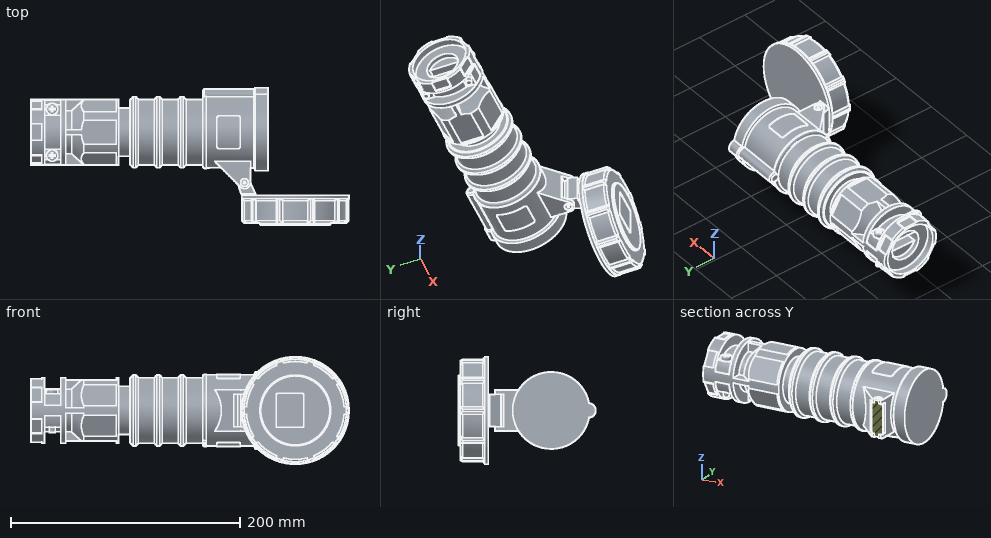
import cadquery as cq
import math


NUT_RADIUS = 28.7
CASTLE_END = 9.6
CASTLE_COUNT = 6
CASTLE_WIDTH = 14.4
CASTLE_FLOOR = 26.8
MOUTH_RADIUS = 25.0
MOUTH_DEPTH = 7.0
CABLE_RADIUS = 14.6
CLAMP_START = 12.0
CLAMP_END = 26.0
CLAMP_LENGTH = CLAMP_END - CLAMP_START
GRIP_START = 30.5
GRIP_END = 74.7
GRIP_APOTHEM = 26.7
GRIP_TURN = 30.0
POCKET_RADIUS = 18.8
POCKET_CONE_START = 35.5
POCKET_CONE_END = 46.2
POCKET_WEB = 4.6
NUT_BODY_END = 76.5
NECK_RADIUS = 21.2

JAW_GAP = 9.4
JAW_RADIUS = 28.2
JAW_TOP = 18.8
PAD_HEIGHT = 14.6
ARCH_RADIUS = 28.9
SCREW_X = CLAMP_START + 6.6
SCREW_OFFSET = 20.3
SCREW_SHANK_RADIUS = 2.6
SCREW_HEAD_RADIUS = 5.0
SCREW_HEAD_HEIGHT = 3.9
SCREW_HEAD_FILLET = 1.8
SCREW_TAIL = 4.8
CROSS_LENGTH = 5.0
CROSS_WIDTH = 1.3
CROSS_DEPTH = 1.6

HOUSING_START = 86.2
TUBE_RADIUS = NUT_RADIUS
TUBE_CHAMFER = 0.8
RIB_FIRST = 90.4
RIB_PITCH = 20.75
RIB_COUNT = 3
RIB_HEIGHT = 2.4
RIB_CREST = 2.2
SOCKET_START = 149.9
SOCKET_BEAD_END = 153.1
SOCKET_RADIUS = 31.2
SOCKET_BEAD = 0.5
SOCKET_BEAD_FILLET = 2.2
RIM_STEP_START = 194.6
RIM_STEP_END = 195.8
RIM_RADIUS = 33.7
HOUSING_END = 207.0
KEY_CENTER_Y = 32.5
KEY_RADIUS = 5.3
KEY_RIM_RADIUS = 6.4
KEY_CHAMFER = 1.5
LABEL_X = 172.5
LABEL_LENGTH = 20.5
LABEL_WIDTH = 28.6
LABEL_CORNER = 2.0
LABEL_RISE = 0.3

PIVOT_X = 186.4
PIVOT_Y = -43.9
BRACKET_RADIUS = 5.3
BRACKET_WIDTH = 36.0
BRACKET_ROOT_Y = -20.0
SLOT_START = 177.2
SLOT_FLOOR_Y = -41.2
LEVER_WIDTH = 28.0
LEVER_TOP_OFFSET = 1.9
LEVER_FOOT_Y = -53.7
LEVER_LEFT = 183.3
LEVER_RIGHT = 196.0
LEVER_TILT_LEFT = 2.6
LEVER_TILT_RIGHT = 4.4
FOOT_LEFT = 190.1
FOOT_WIDTH = 22.0
TRUNNION_RADIUS = 3.4
TRUNNION_BORE = 0.9
TRUNNION_INSET = 0.8

COVER_X = 230.7
COVER_TOP_Y = -54.9
COVER_FLANGE_RADIUS = 47.0
COVER_FLANGE_THICKNESS = 3.2
COVER_NECK = 1.6
COVER_NECK_CHAMFER = 1.55
COVER_RADIUS = 44.7
COVER_HEIGHT = 24.4
COVER_CHAMFER = 2.0
GRIP_RIB_COUNT = 10
GRIP_RIB_RADIUS = 46.5
GRIP_RIB_BASE = 6.2
GRIP_RIB_TIP = 2.0
FACE_DISC_RADIUS = 30.9
FACE_DISC_HEIGHT = 1.85
FACE_DISC_CHAMFER = 0.8
FACE_LABEL_SHIFT = -4.7
FACE_LABEL_LENGTH = 24.0
FACE_LABEL_WIDTH = 29.7
FACE_LABEL_CORNER = 1.2
FACE_LABEL_DEPTH = 0.3

AXIS_START = (0, 0, 0)
AXIS_END = (1, 0, 0)


def axial_cylinder(start, end, radius):
    """Cylinder around the X axis."""
    return cq.Workplane("YZ", origin=(start, 0, 0)).circle(radius).extrude(end - start)


def axial_revolve(points):
    """Solid of revolution around X from (x, radius) points."""
    return cq.Workplane("XY").polyline(points).close().revolve(360, AXIS_START, AXIS_END)


def block(x_range, y_range, z_range):
    """Box given by its limits along each axis."""
    ranges = (x_range, y_range, z_range)
    size = [high - low for low, high in ranges]
    center = [(high + low) / 2 for low, high in ranges]
    return cq.Workplane("XY").box(*size).translate(tuple(center))


def vertical_cylinder(x, y, radius, bottom, top):
    """Cylinder along Z."""
    return cq.Workplane("XY", origin=(x, y, bottom)).circle(radius).extrude(top - bottom)


def castle_notches():
    """Flat-floored notches around the entry end."""
    notch = block(
        (0, CASTLE_END),
        (-CASTLE_WIDTH / 2, CASTLE_WIDTH / 2),
        (CASTLE_FLOOR, NUT_RADIUS + 1),
    )
    notches = cq.Workplane("XY")
    for index in range(CASTLE_COUNT):
        notches = notches.add(notch.rotate(AXIS_START, AXIS_END, index * 360 / CASTLE_COUNT))
    return notches.combine()


def grip_flats():
    """Material outside the hexagon of the grip."""
    hexagon = (
        cq.Workplane("YZ", origin=(GRIP_START, 0, 0))
        .polygon(6, 2 * GRIP_APOTHEM, circumscribed=True)
        .extrude(GRIP_END - GRIP_START)
        .rotate(AXIS_START, AXIS_END, GRIP_TURN)
    )
    return axial_cylinder(GRIP_START, GRIP_END, NUT_RADIUS + 1).cut(hexagon)


def grip_pockets():
    """Four conical pockets ahead of the grip, kept apart by a cross of webs."""
    slope = (NUT_RADIUS - POCKET_RADIUS) / (POCKET_CONE_END - POCKET_CONE_START)
    outer = NUT_RADIUS + 1
    ring = axial_revolve([
        (GRIP_START, POCKET_RADIUS),
        (POCKET_CONE_START, POCKET_RADIUS),
        (POCKET_CONE_END + 1 / slope, outer),
        (GRIP_START, outer),
    ])
    x_range = (GRIP_START, GRIP_END)
    web = (-POCKET_WEB / 2, POCKET_WEB / 2)
    span = (-outer, outer)
    return ring.cut(block(x_range, web, span)).cut(block(x_range, span, web))


def make_gland_nut():
    nut = axial_cylinder(0, NUT_BODY_END, NUT_RADIUS)
    nut = nut.union(axial_cylinder(NUT_BODY_END, HOUSING_START, NECK_RADIUS))
    nut = nut.cut(castle_notches()).cut(grip_flats()).cut(grip_pockets())
    nut = nut.cut(axial_cylinder(0, MOUTH_DEPTH, MOUTH_RADIUS))
    nut = nut.cut(axial_cylinder(MOUTH_DEPTH, CLAMP_END, CABLE_RADIUS))
    span = (-NUT_RADIUS, NUT_RADIUS)
    for z_range in ((JAW_GAP / 2, NUT_RADIUS), (-NUT_RADIUS, -JAW_GAP / 2)):
        nut = nut.cut(block((CLAMP_START, CLAMP_END), span, z_range))
    for y in (-SCREW_OFFSET, SCREW_OFFSET):
        nut = nut.cut(vertical_cylinder(SCREW_X, y, SCREW_SHANK_RADIUS, -JAW_GAP, JAW_GAP))
    return nut


def make_clamp_jaw(side):
    """One jaw: flat pads beside a low arch; side is +1 above the cable and -1 below it."""
    span = (-JAW_RADIUS, JAW_RADIUS)
    pads = block((CLAMP_START, CLAMP_END), span, (JAW_GAP / 2, PAD_HEIGHT))
    arch = (
        cq.Workplane("YZ", origin=(CLAMP_START, 0, JAW_TOP - ARCH_RADIUS))
        .circle(ARCH_RADIUS)
        .extrude(CLAMP_LENGTH)
        .intersect(block((CLAMP_START, CLAMP_END), span, (JAW_GAP / 2, JAW_TOP)))
    )
    jaw = pads.union(arch).intersect(axial_cylinder(CLAMP_START, CLAMP_END, JAW_RADIUS))
    for y in (-SCREW_OFFSET, SCREW_OFFSET):
        jaw = jaw.cut(vertical_cylinder(SCREW_X, y, SCREW_SHANK_RADIUS, 0, JAW_TOP))
    if side < 0:
        jaw = jaw.mirror("XY")
    return jaw


def make_clamp_screw(y):
    """Cross-recessed screw through both jaws, its tail standing out below."""
    top = PAD_HEIGHT + SCREW_HEAD_HEIGHT
    shank = vertical_cylinder(SCREW_X, y, SCREW_SHANK_RADIUS, -PAD_HEIGHT - SCREW_TAIL, PAD_HEIGHT)
    head = vertical_cylinder(SCREW_X, y, SCREW_HEAD_RADIUS, PAD_HEIGHT, top)
    head = head.faces(">Z").edges().fillet(SCREW_HEAD_FILLET)
    recess = cq.Workplane("XY", origin=(SCREW_X, y, top - CROSS_DEPTH))
    head = head.cut(recess.rect(CROSS_LENGTH, CROSS_WIDTH).extrude(CROSS_DEPTH))
    head = head.cut(recess.rect(CROSS_WIDTH, CROSS_LENGTH).extrude(CROSS_DEPTH))
    return shank.union(head)


def housing_rib(center):
    """Trapezoid ring around the tube with 45 degree flanks."""
    crest = RIB_CREST / 2
    base = crest + RIB_HEIGHT
    return axial_revolve([
        (center - base, 0),
        (center - base, TUBE_RADIUS),
        (center - crest, TUBE_RADIUS + RIB_HEIGHT),
        (center + crest, TUBE_RADIUS + RIB_HEIGHT),
        (center + base, TUBE_RADIUS),
        (center + base, 0),
    ])


def housing_tube():
    tube = axial_cylinder(HOUSING_START, SOCKET_START, TUBE_RADIUS)
    tube = tube.faces("<X").edges().chamfer(TUBE_CHAMFER)
    for index in range(RIB_COUNT):
        tube = tube.union(housing_rib(RIB_FIRST + index * RIB_PITCH))
    return tube


def housing_socket():
    """Socket barrel with a rounded bead at its start and a wider rim at its end."""
    bead_radius = SOCKET_RADIUS + SOCKET_BEAD
    round_center = (SOCKET_START + SOCKET_BEAD_FILLET, bead_radius - SOCKET_BEAD_FILLET)
    reach = SOCKET_BEAD_FILLET * math.sqrt(0.5)
    return (
        cq.Workplane("XY")
        .moveTo(SOCKET_START, 0)
        .lineTo(SOCKET_START, round_center[1])
        .threePointArc((round_center[0] - reach, round_center[1] + reach), (round_center[0], bead_radius))
        .lineTo(SOCKET_BEAD_END, bead_radius)
        .lineTo(SOCKET_BEAD_END, SOCKET_RADIUS)
        .lineTo(RIM_STEP_START, SOCKET_RADIUS)
        .lineTo(RIM_STEP_END, RIM_RADIUS)
        .lineTo(HOUSING_END, RIM_RADIUS)
        .lineTo(HOUSING_END, 0)
        .close()
        .revolve(360, AXIS_START, AXIS_END)
    )


def key_rib():
    """Rounded rib along the +Y side with a chamfered start and a wider end on the rim."""
    return (
        cq.Workplane("XY")
        .polyline([
            (SOCKET_START, KEY_CENTER_Y),
            (SOCKET_START, KEY_CENTER_Y + KEY_RADIUS - KEY_CHAMFER),
            (SOCKET_START + KEY_CHAMFER, KEY_CENTER_Y + KEY_RADIUS),
            (RIM_STEP_START, KEY_CENTER_Y + KEY_RADIUS),
            (RIM_STEP_END, KEY_CENTER_Y + KEY_RIM_RADIUS),
            (HOUSING_END, KEY_CENTER_Y + KEY_RIM_RADIUS),
            (HOUSING_END, KEY_CENTER_Y),
        ])
        .close()
        .revolve(360, (0, KEY_CENTER_Y, 0), (1, KEY_CENTER_Y, 0))
    )


def label_pads():
    """Thin raised label areas on the top and bottom of the socket."""
    outline = (
        cq.Workplane("XY", origin=(LABEL_X, 0, -RIM_RADIUS))
        .rect(LABEL_LENGTH, LABEL_WIDTH)
        .extrude(2 * RIM_RADIUS)
        .edges("|Z")
        .fillet(LABEL_CORNER)
    )
    half = LABEL_LENGTH / 2
    return outline.intersect(axial_cylinder(LABEL_X - half, LABEL_X + half, SOCKET_RADIUS + LABEL_RISE))


def hinge_bracket():
    """Triangular bracket, rounded at the pivot and slotted for the cover lever."""
    reach = BRACKET_RADIUS * math.sqrt(0.5)
    tangent_x = PIVOT_X - reach
    tangent_y = PIVOT_Y - reach
    root_x = tangent_x - (BRACKET_ROOT_Y - tangent_y)
    arc_middle = (
        PIVOT_X + BRACKET_RADIUS * math.sin(math.pi / 8),
        PIVOT_Y - BRACKET_RADIUS * math.cos(math.pi / 8),
    )
    half = BRACKET_WIDTH / 2
    bracket = (
        cq.Workplane("XY", origin=(0, 0, -half))
        .moveTo(root_x, BRACKET_ROOT_Y)
        .lineTo(PIVOT_X + BRACKET_RADIUS, BRACKET_ROOT_Y)
        .lineTo(PIVOT_X + BRACKET_RADIUS, PIVOT_Y)
        .threePointArc(arc_middle, (tangent_x, tangent_y))
        .close()
        .extrude(BRACKET_WIDTH)
    )
    slot = block(
        (SLOT_START, PIVOT_X + 2 * BRACKET_RADIUS),
        (COVER_TOP_Y, SLOT_FLOOR_Y),
        (-LEVER_WIDTH / 2, LEVER_WIDTH / 2),
    )
    return bracket.cut(slot).cut(vertical_cylinder(PIVOT_X, PIVOT_Y, TRUNNION_RADIUS, -half, half))


def make_housing():
    housing = housing_socket().union(key_rib()).union(housing_tube())
    return housing.union(label_pads()).union(hinge_bracket())


def cover_disc(start, height, radius):
    """Disc about the cover axis, from start toward -Y."""
    return cq.Workplane("XZ", origin=(COVER_X, start, 0)).circle(radius).extrude(height)


def cover_grip_rib():
    """One tapered grip rib at the +X side of the cover."""
    start = COVER_TOP_Y - COVER_FLANGE_THICKNESS
    root = COVER_RADIUS - 2 * COVER_CHAMFER
    rib = (
        cq.Workplane("XZ", origin=(COVER_X, start, 0))
        .polyline([
            (root, -GRIP_RIB_BASE / 2),
            (COVER_RADIUS, -GRIP_RIB_BASE / 2),
            (GRIP_RIB_RADIUS, -GRIP_RIB_TIP / 2),
            (GRIP_RIB_RADIUS, GRIP_RIB_TIP / 2),
            (COVER_RADIUS, GRIP_RIB_BASE / 2),
            (root, GRIP_RIB_BASE / 2),
        ])
        .close()
        .extrude(COVER_HEIGHT - COVER_FLANGE_THICKNESS)
    )
    return rib.faces("<Y").edges(">X").chamfer(COVER_CHAMFER)


def cover_lid():
    flange = cover_disc(COVER_TOP_Y, COVER_FLANGE_THICKNESS, COVER_FLANGE_RADIUS)
    neck_start = COVER_TOP_Y - COVER_FLANGE_THICKNESS
    neck = cover_disc(neck_start, COVER_NECK, COVER_RADIUS + COVER_NECK)
    neck = neck.faces("<Y").edges().chamfer(COVER_NECK_CHAMFER)
    drum = cover_disc(COVER_TOP_Y, COVER_HEIGHT, COVER_RADIUS)
    drum = drum.faces("<Y").edges().chamfer(COVER_CHAMFER)
    lid = flange.union(neck).union(drum)
    rib = cover_grip_rib()
    for index in range(GRIP_RIB_COUNT):
        angle = index * 360 / GRIP_RIB_COUNT
        lid = lid.union(rib.rotate((COVER_X, 0, 0), (COVER_X, 1, 0), angle))
    face_y = COVER_TOP_Y - COVER_HEIGHT
    disc = cover_disc(face_y, FACE_DISC_HEIGHT, FACE_DISC_RADIUS)
    disc = disc.faces("<Y").edges().chamfer(FACE_DISC_CHAMFER)
    label_x = COVER_X + FACE_LABEL_SHIFT
    label_floor_y = face_y - FACE_DISC_HEIGHT + FACE_LABEL_DEPTH
    label = (
        cq.Workplane("XZ", origin=(label_x, label_floor_y, 0))
        .rect(FACE_LABEL_LENGTH, FACE_LABEL_WIDTH)
        .extrude(FACE_LABEL_DEPTH)
        .edges("|Y")
        .fillet(FACE_LABEL_CORNER)
    )
    return lid.union(disc.cut(label))


def cover_lever():
    """Lever rising from the lid edge into the bracket slot, with hollow trunnions for the bracket ears."""
    half = LEVER_WIDTH / 2
    lever = (
        cq.Workplane("XY", origin=(0, 0, -half))
        .polyline([
            (LEVER_LEFT, LEVER_FOOT_Y),
            (LEVER_RIGHT, LEVER_FOOT_Y),
            (LEVER_RIGHT - LEVER_TILT_RIGHT, PIVOT_Y),
            (PIVOT_X, PIVOT_Y + LEVER_TOP_OFFSET),
            (LEVER_LEFT - LEVER_TILT_LEFT, PIVOT_Y - LEVER_TOP_OFFSET),
        ])
        .close()
        .extrude(LEVER_WIDTH)
    )
    foot = block(
        (FOOT_LEFT, LEVER_RIGHT),
        (COVER_TOP_Y, LEVER_FOOT_Y),
        (-FOOT_WIDTH / 2, FOOT_WIDTH / 2),
    )
    reach = BRACKET_WIDTH / 2 - TRUNNION_INSET
    trunnions = vertical_cylinder(PIVOT_X, PIVOT_Y, TRUNNION_RADIUS, -reach, reach)
    hinged_lever = lever.union(foot).union(trunnions)
    return hinged_lever.cut(vertical_cylinder(PIVOT_X, PIVOT_Y, TRUNNION_BORE, -reach, reach))


def make_cover():
    return cover_lid().union(cover_lever())


housing = make_housing()
gland_nut = make_gland_nut()
clamp_jaws = [make_clamp_jaw(side) for side in (1, -1)]
clamp_screws = [make_clamp_screw(y) for y in (-SCREW_OFFSET, SCREW_OFFSET)]
cover = make_cover()

result = cq.Compound.makeCompound([
    housing.val(),
    gland_nut.val(),
    *[jaw.val() for jaw in clamp_jaws],
    *[screw.val() for screw in clamp_screws],
    cover.val(),
])